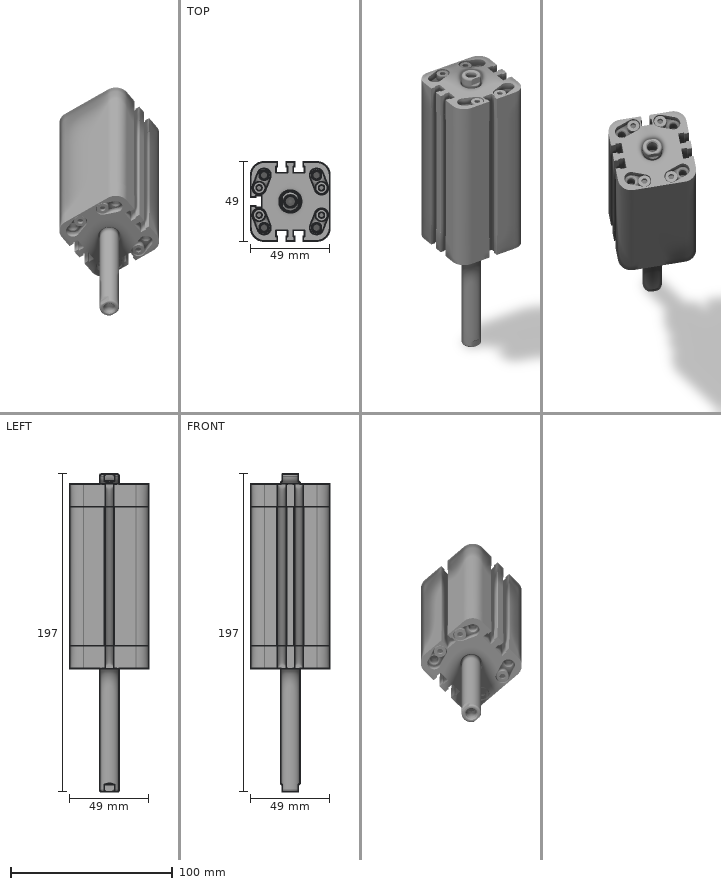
import cadquery as cq
import math


body_width = 49.0
corner_radius = 8.3
cap_height = 14.2
tube_length = 86.0
body_height = tube_length + 2 * cap_height

slot_mouth_width = 5.3
slot_mouth_depth = 3.0
slot_inner_width = 6.9
slot_depth = 6.7
slot_spacing = 10.6
tube_lip_chamfer = 0.4

rod_diameter = 12.0
rod_length = 197
rod_upper_reach = 6.1
rod_bottom = body_height + rod_upper_reach - rod_length
rod_end_radius = 1.4
rod_flat_width = 10.0
rod_flat_length = 4.3
rod_thread_diameter = 6.7
rod_thread_mouth = 8.0
rod_thread_depth = 11.8

rod_clearance_diameter = 12.6
rod_clearance_mouth = 14.0
rod_clearance_depth = 2.0
mount_spacing = 32.5
mount_offset = mount_spacing / 2
mount_hole_diameter = 5.0
mount_hole_mouth = 6.1
mount_hole_depth = 7.9
screw_x = 19.3
screw_y = 8.5
pocket_width = 8.5
pocket_depth = 4.5
screw_head_diameter = 7.5
screw_head_height = 4.0
socket_diameter = 3.5
socket_depth = 2.0


def t_slot(length, lip_chamfer=0):
    """T-slot cutter along Z, opening on the +Y side at x = 0."""
    face_y = body_width / 2
    mouth = slot_mouth_width / 2
    inner = slot_inner_width / 2
    shoulder_y = face_y - slot_mouth_depth
    floor_y = face_y - slot_depth
    right_side = [(inner, floor_y), (inner, shoulder_y), (mouth, shoulder_y)]
    if lip_chamfer:
        right_side.append((mouth, face_y - lip_chamfer))
    right_side.append((mouth + lip_chamfer, face_y))
    left_side = [(-x, y) for x, y in reversed(right_side)]
    return cq.Workplane("XY").polyline(right_side + left_side).close().extrude(length)


def slotted_block(length, lip_chamfer=0):
    """Rounded square block with the five T-slots and the rod hole."""
    block = cq.Workplane("XY").rect(body_width, body_width).extrude(length)
    block = block.edges("|Z").fillet(corner_radius)
    slot = t_slot(length, lip_chamfer)
    for slot_x in (-slot_spacing / 2, slot_spacing / 2):
        side_slot = slot.translate((slot_x, 0, 0))
        block = block.cut(side_slot).cut(side_slot.mirror("XZ"))
    block = block.cut(slot.rotate((0, 0, 0), (0, 0, 1), 90))
    rod_hole = cq.Workplane("XY").circle(rod_diameter / 2).extrude(length)
    return block.cut(rod_hole)


def countersunk_hole(diameter, mouth_diameter, depth, top_z):
    """Cutter for a blind round hole with a 45 degree countersunk mouth at top_z."""
    radius = diameter / 2
    mouth_radius = mouth_diameter / 2
    countersink = mouth_radius - radius
    outline = [
        (0, top_z),
        (mouth_radius, top_z),
        (radius, top_z - countersink),
        (radius, top_z - depth),
        (0, top_z - depth),
    ]
    return cq.Workplane("XZ").polyline(outline).close().revolve(360, (0, 0, 0), (0, 1, 0))


def corner_pocket():
    """Oblong pocket joining the mounting hole and the screw of the +X +Y corner."""
    run_x = mount_offset - screw_x
    run_y = mount_offset - screw_y
    pocket_length = math.hypot(run_x, run_y) + pocket_width
    pocket_angle = math.degrees(math.atan2(run_y, run_x))
    middle_x = (mount_offset + screw_x) / 2
    middle_y = (mount_offset + screw_y) / 2
    pocket = cq.Workplane("XY").slot2D(pocket_length, pocket_width, pocket_angle).extrude(pocket_depth)
    return pocket.translate((middle_x, middle_y, cap_height - pocket_depth))


def screw_head():
    """Socket screw head standing on the pocket floor of the +X +Y corner."""
    head = cq.Workplane("XY").circle(screw_head_diameter / 2).extrude(screw_head_height)
    head = head.faces(">Z").workplane().circle(socket_diameter / 2).cutBlind(-socket_depth)
    return head.translate((screw_x, screw_y, cap_height - pocket_depth))


def in_all_corners(corner_shape):
    """The +X +Y corner shape and its mirror images in the other three corners."""
    pair = [corner_shape, corner_shape.mirror("YZ")]
    return pair + [shape.mirror("XZ") for shape in pair]


def make_cap():
    """End cap with its outer face up at cap_height and its inner face at Z = 0."""
    cap = slotted_block(cap_height)
    cap = cap.cut(countersunk_hole(rod_clearance_diameter, rod_clearance_mouth, rod_clearance_depth, cap_height))
    pocket_floor = cap_height - pocket_depth
    mount_hole = countersunk_hole(mount_hole_diameter, mount_hole_mouth, mount_hole_depth, pocket_floor)
    mount_hole = mount_hole.translate((mount_offset, mount_offset, 0))
    for cutter in in_all_corners(corner_pocket()) + in_all_corners(mount_hole):
        cap = cap.cut(cutter)
    for head in in_all_corners(screw_head()):
        cap = cap.union(head)
    return cap


def flat_cutter():
    """Cutter for the wrench flat on the +X side of the rod's upper end, Z = 0 at the tip."""
    flat_x = rod_flat_width / 2
    outer_x = rod_diameter
    ramp = outer_x - flat_x
    outline = [
        (flat_x, 0),
        (flat_x, -rod_flat_length),
        (outer_x, -rod_flat_length - ramp),
        (outer_x, 0),
    ]
    return cq.Workplane("XZ").polyline(outline).close().extrude(rod_diameter, both=True)


def make_rod():
    """Piston rod, alike at both ends: rounded rim, two wrench flats, threaded hole."""
    rod = cq.Workplane("XY").circle(rod_diameter / 2).extrude(rod_length / 2, both=True)
    rod = rod.faces("<Z or >Z").edges().fillet(rod_end_radius)
    flat = flat_cutter().translate((0, 0, rod_length / 2))
    thread = countersunk_hole(rod_thread_diameter, rod_thread_mouth, rod_thread_depth, rod_length / 2)
    for end_cutter in (flat, flat.mirror("YZ"), thread):
        rod = rod.cut(end_cutter).cut(end_cutter.mirror("XY"))
    return rod.translate((0, 0, rod_bottom + rod_length / 2))


tube = slotted_block(tube_length, tube_lip_chamfer).translate((0, 0, cap_height))
cap = make_cap()
upper_cap = cap.translate((0, 0, cap_height + tube_length))
lower_cap = cap.mirror("XY").translate((0, 0, cap_height))
rod = make_rod()

result = cq.Compound.makeCompound(
    [body.solids().val() for body in (tube, upper_cap, lower_cap, rod)]
)